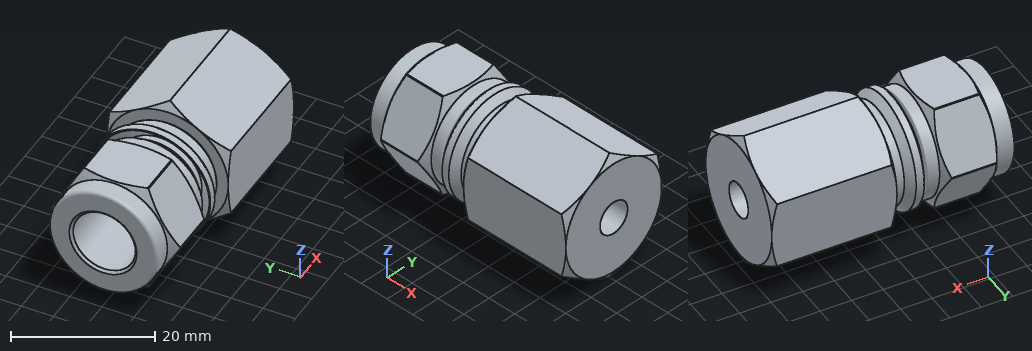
import cadquery as cq
import math

length = 39.2
nut_turned_diameter = 20.15
nut_flats = 17.53
body_corners = 22.0
hex_bevel_slope = math.tan(math.radians(60))

nut_hex_start = 2.98
nut_hex_end = 12.0
nut_end = 13.9
neck_end = 15.37
flange_start = 14.82
flange_end = 16.1
cone_end = 17.35
body_hex_start = 19.37

collar_diameter = 17.0
nut_skirt_diameter = 16.8
neck_diameter = 14.27
neck_root_diameter = 13.05
flange_diameter = 18.25
flange_cup_diameter = 17.85
shoulder_diameter = 15.8
body_flats = body_corners * math.cos(math.pi / 6)

cup_depth = (flange_cup_diameter - neck_root_diameter) / 2

collar_round = 0.5
skirt_round = 0.2
shoulder_chamfer = 0.35
shoulder_chamfer_depth = 0.27

tube_diameter = 9.72
tube_mouth_diameter = 10.55
tube_mouth_depth = 0.4
tube_depth = 15.7
seat_diameter = 7.1
seat_depth = 0.63
through_diameter = 5.5


def revolve_profile(points):
    """Revolve (x, radius) points, closed along the axis, about X."""
    outline = [(points[0][0], 0), *points, (points[-1][0], 0)]
    return cq.Workplane("XY").polyline(outline).close().revolve(360, (0, 0, 0), (1, 0, 0))


def cylinder(start, end, diameter):
    return cq.Workplane("YZ").workplane(offset=start).circle(diameter / 2).extrude(end - start)


def beveled_hex(start, end, flats, turned_diameter, start_diameter, end_diameter, corner_turn):
    """Hexagonal bar whose corners are turned down conically at both ends."""
    corners = flats / math.cos(math.pi / 6)
    bar = cq.Workplane("YZ").workplane(offset=start).polygon(6, corners).extrude(end - start)
    bar = bar.rotate((0, 0, 0), (1, 0, 0), corner_turn)
    start_bevel = (turned_diameter - start_diameter) / 2 / hex_bevel_slope
    end_bevel = (turned_diameter - end_diameter) / 2 / hex_bevel_slope
    envelope = revolve_profile([
        (start, start_diameter / 2),
        (start + start_bevel, turned_diameter / 2),
        (end - end_bevel, turned_diameter / 2),
        (end, end_diameter / 2),
    ])
    return bar.intersect(envelope)


collar = cylinder(0, nut_hex_start, collar_diameter).faces("<X").edges().fillet(collar_round)
nut_hex = beveled_hex(
    nut_hex_start, nut_hex_end, nut_flats, nut_turned_diameter, collar_diameter, nut_skirt_diameter, 0
)
skirt = cylinder(nut_hex_end, nut_end, nut_skirt_diameter).faces(">X").edges().fillet(skirt_round)

connector = revolve_profile([
    (nut_end, neck_diameter / 2),
    (neck_end, neck_diameter / 2),
    (neck_end, neck_root_diameter / 2),
    (flange_start + cup_depth, neck_root_diameter / 2),
    (flange_start, flange_cup_diameter / 2),
    (flange_start, flange_diameter / 2),
    (flange_end, flange_diameter / 2),
    (cone_end, shoulder_diameter / 2),
    (body_hex_start - shoulder_chamfer, shoulder_diameter / 2),
    (body_hex_start, shoulder_diameter / 2 - shoulder_chamfer_depth),
])

body_hex = beveled_hex(body_hex_start, length, body_flats, body_corners, body_flats, body_flats, 90)

bore = revolve_profile([
    (0, tube_mouth_diameter / 2),
    (tube_mouth_depth, tube_diameter / 2),
    (tube_depth, tube_diameter / 2),
    (tube_depth, seat_diameter / 2),
    (tube_depth + seat_depth, through_diameter / 2),
    (length, through_diameter / 2),
])

result = collar.union(nut_hex).union(skirt).union(connector).union(body_hex).cut(bore)